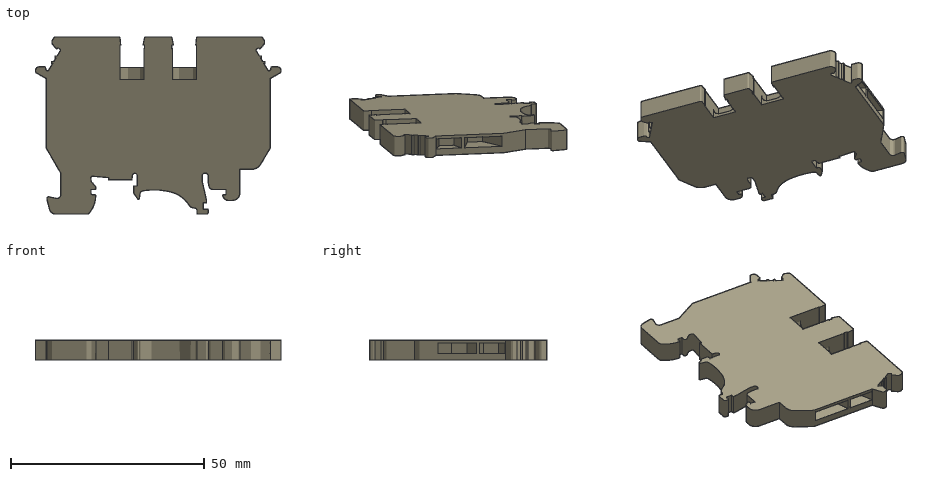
import cadquery as cq
import math


thickness = 5.15
height = 45.9
half_length = 31.8
half_body = 29.05
face_top = 35.15
face_bottom = 17.2
face_bottom_radius = 1.3

slot_inner = 3.74
slot_outer = 9.9
slot_floor = 34.95
slot_width = slot_outer - slot_inner
snap_y = 43.8
snap_bump = 0.22
post_notch = 0.18
notch_bottom = 42.9
mouth_radius = 0.35
post_top_inset = 0.2

cradle_top = 38.05
cradle_floor_z = 0.8
left_cradle_flat = (2.1, 4.05)
right_cradle_flat = (1.75, 4.25)

flank_top = (-25.25, 42.55)
flank_bottom = (-28.6, 37.0)
tooth_tops = (41.0, 39.55)
tooth_reach = 0.6
tooth_height = 0.5

funnel_floor_z = 1.74
funnel_roof_z = 4.39
funnels = (
    (28.4, 35.1, 29.55, 33.4, 4.2),
    (17.65, 27.68, 21.2, 25.2, 7.7),
)


def mirrored(corners):
    """The same corners on the +X side, in reversed order."""
    return [(-x, y, r) for x, y, r in reversed(corners)]


def rounded_outline(corners):
    """Closed wire through corners (x, y, radius), each rounded by its tangent arc."""
    path = cq.Workplane("XY")
    for i, (x, y, radius) in enumerate(corners):
        before = corners[i - 1]
        after = corners[(i + 1) % len(corners)]
        to_before = math.atan2(before[1] - y, before[0] - x)
        to_after = math.atan2(after[1] - y, after[0] - x)
        half_turn = math.remainder(to_after - to_before, 2 * math.pi) / 2
        half_angle = abs(half_turn)
        setback = radius / math.tan(half_angle)
        start = (x + setback * math.cos(to_before), y + setback * math.sin(to_before))
        path = path.moveTo(*start) if i == 0 else path.lineTo(*start)
        if radius > 0:
            bisector = to_before + half_turn
            reach = radius / math.sin(half_angle) - radius
            middle = (x + reach * math.cos(bisector), y + reach * math.sin(bisector))
            end = (x + setback * math.cos(to_after), y + setback * math.sin(to_after))
            path = path.threePointArc(middle, end)
    return path.close()


def flank_x(y):
    """X of the sloped -X flank at height y."""
    share = (y - flank_bottom[1]) / (flank_top[1] - flank_bottom[1])
    return flank_bottom[0] + share * (flank_top[0] - flank_bottom[0])


def tooth(top):
    """Corners of one square latch tooth on the -X flank, from the bottom up."""
    bottom = top - tooth_height
    tip = flank_x(top) - tooth_reach
    return [(flank_x(bottom), bottom, 0), (tip, bottom, 0), (tip, top, 0), (flank_x(top), top, 0)]


def upper_end():
    """-X end from the bottom of the end face up to the mouth and floor of the slot."""
    corners = [
        (-half_body, face_bottom, face_bottom_radius),
        (-half_body, face_top, 0),
        (-half_length, 36.7, 0.5),
        (-half_length, 38.2, 1.0),
        (-29.2, 38.2, 0.3),
        (-29.1, 37.5, 0.3),
        (*flank_bottom, 0.2),
    ]
    for top in reversed(tooth_tops):
        corners += tooth(top)
    corners += [
        (*flank_top, 0.3),
        (-25.95, 43.1, 0.2),
        (-26.3, 42.75, 0.1),
        (-27.77, 44.42, 0.95),
        (-26.95, height, 0.5),
        (-slot_outer, height, mouth_radius),
        (-slot_outer + snap_bump, snap_y, 0),
        (-slot_outer, snap_y, 0),
        (-slot_outer, slot_floor, 0),
    ]
    return corners


def post_side():
    """-X side of the post between the slots, from the slot floor up."""
    return [
        (-slot_inner, slot_floor, 0),
        (-slot_inner, notch_bottom, 0),
        (-slot_inner + post_notch, notch_bottom, 0),
        (-slot_inner + post_notch, snap_y, 0),
        (-slot_inner - snap_bump, snap_y, 0),
        (-slot_inner + post_top_inset, height, mouth_radius),
    ]


def right_foot():
    """Rounded foot under the +X end, up to the deep relief slit beside the spring."""
    return [
        (25.75, 11.6, 2.85),
        (21.15, 11.6, 0),
        (21.15, 3.55, 1.95),
        (17.3, 3.55, 1.4),
        (16.5, 5.1, 0.3),
        (17.5, 5.1, 0),
        (17.5, 6.4, 0),
        (13.3, 6.4, 1.0),
        (12.9, 8.2, 1.0),
        (12.9, 10.6, 0.65),
    ]


def spring_and_arch():
    """Snap-in spring leg, the arch over the rail and the small hook at its -X end."""
    return [
        (11.4, 10.6, 0.65),
        (11.4, 8.6, 1.0),
        (12.5, 3.7, 0.4),
        (12.5, 2.97, 0),
        (11.7, 2.97, 0),
        (11.7, 1.35, 0),
        (12.95, 1.35, 0.3),
        (12.95, 0, 0.5),
        (10.0, 0, 0.35),
        (10.0, 1.5, 0.5),
        (8.45, 1.65, 1.7),
        (5.93, 5.25, 7.75),
        (-0.73, 6.52, 17.0),
        (-4.6, 5.95, 0.9),
        (-4.9, 3.8, 0.3),
        (-5.3, 3.9, 0.2),
        (-6.4, 5.5, 0.8),
        (-6.4, 7.35, 0.2),
        (-5.5, 7.35, 0),
    ]


def left_foot():
    """Relief slit, rail seat and hooked foot under the -X end."""
    return [
        (-5.5, 10.55, 0.45),
        (-6.6, 10.55, 0.5),
        (-6.8, 8.92, 0),
        (-12.85, 8.92, 0),
        (-12.85, 9.45, 0),
        (-17.45, 9.85, 0.35),
        (-17.35, 8.5, 0.6),
        (-16.15, 7.1, 0.3),
        (-16.15, 6.4, 0.3),
        (-17.4, 6.4, 0),
        (-17.4, 5.1, 0.4),
        (-16.15, 5.1, 0.3),
        (-16.25, 2.4, 7.0),
        (-18.05, 0, 0.9),
        (-27.85, 0, 1.75),
        (-29.05, 4.68, 0.5),
        (-25.25, 3.9, 0.95),
        (-25.25, 10.6, 0),
    ]


def cradle(wall_x, flat):
    """Trough at the foot of a slot: flat floor, arcs rising to both slot walls."""
    far_x = wall_x + slot_width
    flat_start = wall_x + flat[0]
    flat_end = wall_x + flat[1]
    left_radius = flat_start - wall_x
    right_radius = far_x - flat_end
    diagonal = math.sqrt(0.5)
    profile = (
        cq.Workplane("XZ", origin=(0, cradle_top, 0))
        .moveTo(wall_x, 0)
        .lineTo(wall_x, cradle_floor_z + left_radius)
        .threePointArc(
            (flat_start - left_radius * diagonal, cradle_floor_z + left_radius * (1 - diagonal)),
            (flat_start, cradle_floor_z),
        )
        .lineTo(flat_end, cradle_floor_z)
        .threePointArc(
            (flat_end + right_radius * diagonal, cradle_floor_z + right_radius * (1 - diagonal)),
            (far_x, cradle_floor_z + right_radius),
        )
        .lineTo(far_x, 0)
        .close()
    )
    return profile.extrude(cradle_top - slot_floor)


def funnel(mouth_low, mouth_high, back_low, back_high, depth):
    """Wire-entry funnel that narrows from the -X end face inwards."""
    return (
        cq.Workplane("XY", origin=(0, 0, funnel_floor_z))
        .polyline([
            (-half_body, mouth_low),
            (-half_body, mouth_high),
            (-half_body + depth, back_high),
            (-half_body + depth, back_low),
        ])
        .close()
        .extrude(funnel_roof_z - funnel_floor_z)
    )


outline = (
    upper_end() + post_side() + mirrored(post_side()) + mirrored(upper_end())
    + right_foot() + spring_and_arch() + left_foot()
)
result = rounded_outline(outline).extrude(thickness)

result = result.union(cradle(-slot_outer, left_cradle_flat))
result = result.union(cradle(slot_inner, right_cradle_flat))

for sizes in funnels:
    entry = funnel(*sizes)
    result = result.cut(entry)
    result = result.cut(entry.mirror("YZ"))